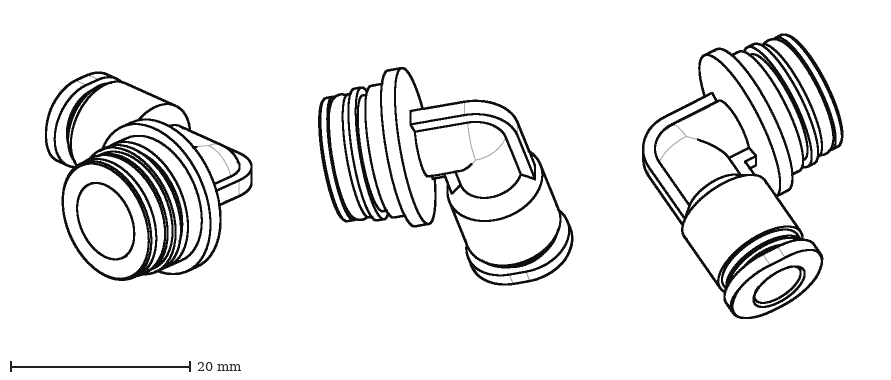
import cadquery as cq


elbow_radius = 3.6
passage_radius = 4.5 / 2
web_reach = 4.8
web_thickness = 1.98

overall_length = 29.15
flange_radius = 17.7 / 2

hose_end = flange_radius - overall_length
button_rim = -19.87
button_back = -18.33
collar_front = -17.35
body_front = -16.23
body_back = -8.35
cone_back = -6.6
button_width = 11.9
button_height = 9.97
button_flat_radius = 3.32
button_rim_chamfer = 0.15
neck_radius = 7.4 / 2
neck_flare = 0.32
collar_radius = 10.0 / 2
collar_chamfer = 0.17
body_radius = 11.0 / 2
socket_radius = 6.0 / 2
socket_end = body_back

dome_top = -5.92
flange_front = -6.95
flange_back = -8.57
groove_front = -10.75
groove_back = -11.85
rib_back = -12.7
ring_front = -13.5
ring_back = -15.27
plug_end = -16.25
barrel_radius = 14.95 / 2
groove_radius = 13.15 / 2
plug_radius = 14 / 2
plug_chamfer = 0.2
ring_outer_radius = 7.1
ring_section_radius = (ring_front - ring_back) / 2
ring_center_radius = ring_outer_radius - ring_section_radius
bore_radius = 9.0 / 2
bore_floor = flange_back


def cylinder_x(start, end, radius):
    return cq.Workplane("YZ", origin=(start, 0, 0)).circle(radius).extrude(end - start)


def cylinder_y(start, end, radius):
    return cq.Workplane("XZ", origin=(0, start, 0)).circle(radius).extrude(start - end)


def revolve_x(points):
    profile = cq.Workplane("XY").polyline(points).close()
    return profile.revolve(360, (0, 0, 0), (1, 0, 0))


def make_elbow(radius, hose_start, plug_stop):
    """Two round arms joined by a ball at the corner."""
    hose_arm = cylinder_x(hose_start, 0, radius)
    plug_arm = cylinder_y(0, plug_stop, radius)
    return hose_arm.union(plug_arm).union(cq.Workplane("XY").sphere(radius))


def make_web():
    """Flat L-shaped rib on the elbow mid-plane, rounded about the corner."""
    return (
        cq.Workplane("XY")
        .moveTo(body_back, web_reach)
        .lineTo(0, web_reach)
        .radiusArc((web_reach, 0), web_reach)
        .lineTo(web_reach, flange_front)
        .lineTo(-web_reach, flange_front)
        .lineTo(-web_reach, -web_reach)
        .lineTo(body_back, -web_reach)
        .close()
        .extrude(web_thickness / 2, both=True)
    )


def make_hose_body():
    """Neck, collar and body with a cone down to the elbow."""
    return revolve_x([
        (button_back, 0),
        (button_back, neck_radius + neck_flare),
        (button_back + neck_flare, neck_radius),
        (collar_front, neck_radius),
        (collar_front, collar_radius - collar_chamfer),
        (collar_front + collar_chamfer, collar_radius),
        (body_front, collar_radius),
        (body_front, body_radius),
        (body_back, body_radius),
        (cone_back, elbow_radius),
        (cone_back, 0),
    ])


def make_button():
    """Release button: a long round outline with a shallow conical face."""
    outline = (
        cq.Workplane("YZ", origin=(hose_end, 0, 0))
        .slot2D(button_width, button_height)
        .extrude(button_back - hose_end)
    )
    coned_blank = revolve_x([
        (hose_end, 0),
        (hose_end, button_flat_radius),
        (button_rim, button_width / 2 - button_rim_chamfer),
        (button_rim + button_rim_chamfer, button_width / 2),
        (button_back, button_width / 2),
        (button_back, 0),
    ])
    return outline.intersect(coned_blank)


def make_plug():
    """Domed flange, grooved barrel and plug end with its seal ring."""
    dome_mid_radius = flange_radius / 2
    dome_mid = dome_top - (dome_top - flange_front) / 4
    ring_middle = (ring_front + ring_back) / 2
    return (
        cq.Workplane("XY")
        .moveTo(0, dome_top)
        .threePointArc((dome_mid_radius, dome_mid), (flange_radius, flange_front))
        .lineTo(flange_radius, flange_back)
        .lineTo(barrel_radius, flange_back)
        .lineTo(barrel_radius, groove_front)
        .lineTo(groove_radius, groove_front)
        .lineTo(groove_radius, groove_back)
        .lineTo(barrel_radius, groove_back)
        .lineTo(barrel_radius, rib_back)
        .lineTo(plug_radius, rib_back)
        .lineTo(plug_radius, ring_front)
        .lineTo(ring_center_radius, ring_front)
        .threePointArc((ring_outer_radius, ring_middle), (ring_center_radius, ring_back))
        .lineTo(plug_radius, ring_back)
        .lineTo(plug_radius, plug_end + plug_chamfer)
        .lineTo(plug_radius - plug_chamfer, plug_end)
        .lineTo(0, plug_end)
        .close()
        .revolve(360, (0, 0, 0), (0, 1, 0))
    )


def make_socket():
    """Hose socket with a chamfered mouth."""
    mouth_chamfer = button_flat_radius - socket_radius
    return revolve_x([
        (hose_end, 0),
        (hose_end, button_flat_radius),
        (hose_end + mouth_chamfer, socket_radius),
        (socket_end, socket_radius),
        (socket_end, 0),
    ])


outside = (
    make_elbow(elbow_radius, body_back, flange_front)
    .union(make_web())
    .union(make_hose_body())
    .union(make_button())
    .union(make_plug())
)
passage = make_elbow(passage_radius, socket_end, bore_floor)
plug_bore = cylinder_y(bore_floor, plug_end, bore_radius)

result = outside.cut(passage).cut(make_socket()).cut(plug_bore)